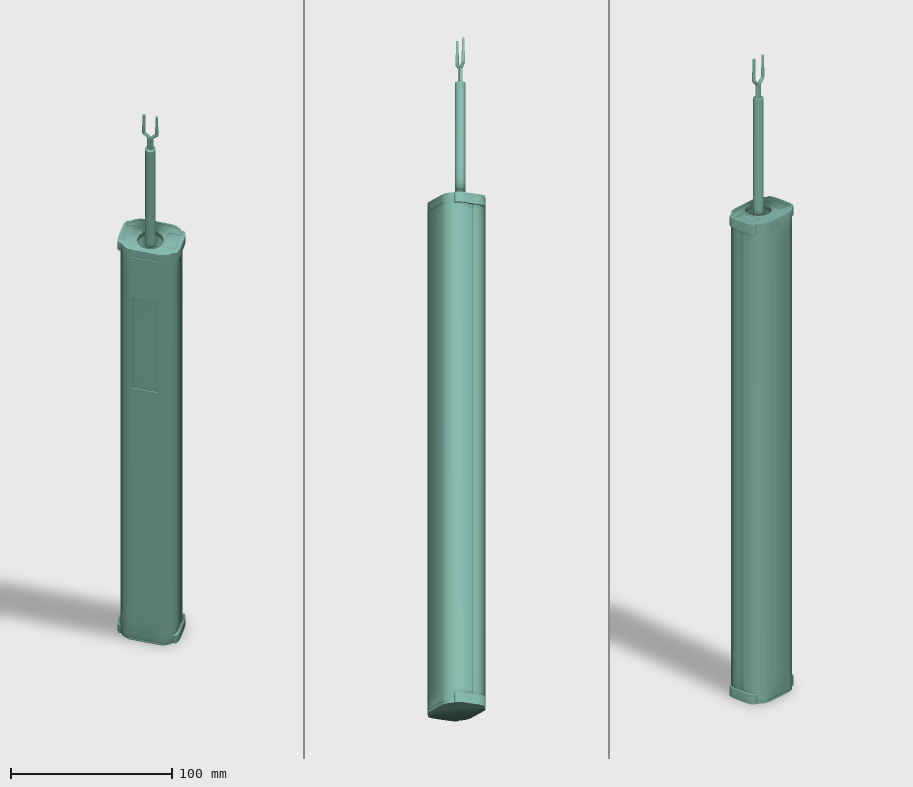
import cadquery as cq

cap_depth = 29.0
cap_lip = 0.1
body_width = 37.0
body_depth = cap_depth - 2 * cap_lip
corner_radius = 10.0
front_flat = body_width - 2 * corner_radius
housing_height = 330.5

channel_width = 4.0
channel_depth = 0.5

cap_height = 6.5
ear_span = 40.0
ear_depth = 21.0
ear_corner_radius = 1.5
ear_round = 10.0
ear_flat = 10.5
cap_groove_length = 22.5
cap_groove_height = 1.5
cap_groove_depth = 0.5
cap_groove_inset = 1.0

rim_width = 1.5
rim_height = 0.5
floor_level = housing_height - rim_height
pad_inner_x = 9.0
pad_outer_x = 17.5
pad_depth_y = 14.5
pad_recess = 0.5
entry_y = -2.5
entry_radius = 8.3
entry_recess = 3.0
seat_radius = 5.2
seat_recess = 0.5

plate_base = 213.5
plate_height = 76.2
plate_recess = 0.5

sheath_radius = 3.25
sheath_top = 407.7
sheath_socket = 5.0
socket_base = floor_level - sheath_socket
core_radius = 1.1
core_overlap = 0.2
core_top = 417.5
fork_top = 420.5
insulation_top = 427.0
wire_radius = 1.0
wire_spacing = 8.3
cable_top = 435.5


def profile(width, depth, radius, height):
    """Upright prism on Z = 0 with rounded corners."""
    return cq.Workplane("XY").rect(width, depth).extrude(height).edges("|Z").fillet(radius)


def box_at(size_x, size_y, size_z, x, y, base):
    """Box centred on (x, y) and standing on the level `base`."""
    return cq.Workplane("XY").box(size_x, size_y, size_z, (True, True, False)).translate((x, y, base))


def cylinder_at(radius, height, x, y, base):
    """Upright cylinder standing on the level `base`."""
    return cq.Workplane("XY").circle(radius).extrude(height).translate((x, y, base))


def make_cap():
    """End cap standing on Z = 0."""
    ears = profile(ear_span, ear_flat + 2 * ear_round, ear_round, cap_height)
    ears = ears.intersect(box_at(ear_span, ear_depth, cap_height, 0, 0, 0))
    ears = ears.edges("|Z").edges(">Y or <Y").fillet(ear_corner_radius)
    sleeve = profile(body_width + 2 * cap_lip, cap_depth, corner_radius + cap_lip, cap_height)
    return sleeve.union(ears)


def cut_channels(housing):
    """Shallow channel between the caps on each side face."""
    height = housing_height - 2 * cap_height
    for side in (-1, 1):
        x = side * (body_width - channel_depth) / 2
        housing = housing.cut(box_at(channel_depth, channel_width, height, x, 0, cap_height))
    return housing


def cut_cap_grooves(housing):
    """Short grooves along the front and back of both caps."""
    for base in (cap_groove_inset, housing_height - cap_height):
        for side in (-1, 1):
            y = side * (cap_depth - cap_groove_depth) / 2
            groove = box_at(cap_groove_length, cap_groove_depth, cap_groove_height, 0, y, base)
            housing = housing.cut(groove)
    return housing


def cut_top_face(housing, cap):
    """Floor inside the rim, side pads, and the stepped cable entry."""
    floor = cap.faces(">Z").wires().toPending().offset2D(-rim_width).extrude(-rim_height, combine=False)
    housing = housing.cut(floor.translate((0, 0, housing_height - cap_height)))

    pad_width = pad_outer_x - pad_inner_x
    pad_base = floor_level - pad_recess
    for side in (-1, 1):
        x = side * (pad_inner_x + pad_outer_x) / 2
        housing = housing.cut(box_at(pad_width, pad_depth_y, pad_recess, x, 0, pad_base))

    entry_base = floor_level - entry_recess
    seat_base = entry_base - seat_recess
    entry = cylinder_at(entry_radius, entry_recess, 0, entry_y, entry_base)
    seat = cylinder_at(seat_radius, seat_recess, 0, entry_y, seat_base)
    socket = cylinder_at(sheath_radius, sheath_socket, 0, entry_y, socket_base)
    return housing.cut(entry).cut(seat).cut(socket)


def cut_name_plate(housing):
    """Shallow rectangular recess across the front flat."""
    y = -(body_depth - plate_recess) / 2
    return housing.cut(box_at(front_flat, plate_recess, plate_height, 0, y, plate_base))


def make_housing():
    cap = make_cap()
    housing = cut_channels(profile(body_width, body_depth, corner_radius, housing_height))
    for base in (0, housing_height - cap_height):
        housing = housing.union(cap.translate((0, 0, base)))
    housing = cut_cap_grooves(housing)
    housing = cut_top_face(housing, cap)
    return cut_name_plate(housing)


def make_core(side):
    """One core: straight, forking outward, then straight up to its bare end."""
    near_x = side * (core_radius - core_overlap / 2)
    far_x = side * wire_spacing / 2
    path = (
        cq.Workplane("XZ", origin=(0, entry_y, 0))
        .moveTo(near_x, sheath_top)
        .lineTo(near_x, core_top)
        .lineTo(far_x, fork_top)
        .lineTo(far_x, insulation_top)
    )
    core = (
        cq.Workplane("XY", origin=(near_x, entry_y, sheath_top))
        .circle(core_radius)
        .sweep(path, transition="round")
    )
    wire = cylinder_at(wire_radius, cable_top - insulation_top, far_x, entry_y, insulation_top)
    return core.union(wire)


def make_cable():
    """Sheath seated in the housing, with both cores emerging from its upper end."""
    cable = cylinder_at(sheath_radius, sheath_top - socket_base, 0, entry_y, socket_base)
    for side in (-1, 1):
        cable = cable.union(make_core(side))
    return cable


housing = make_housing()
cable = make_cable()
result = cq.Compound.makeCompound([housing.val(), cable.val()])